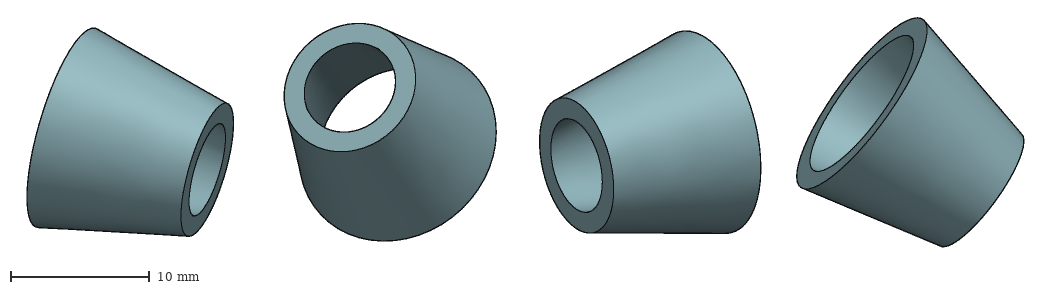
import cadquery as cq
import math

length = 11.0
wide_diameter = 15.0
narrow_diameter = 10.0
wall_thickness = 1.5

wide_radius = wide_diameter / 2
narrow_radius = narrow_diameter / 2

slope_angle = math.atan2(wide_radius - narrow_radius, length)
ring_width = wall_thickness / math.cos(slope_angle)

wall_section = cq.Workplane("XY").polyline([
    (0, wide_radius - ring_width),
    (0, wide_radius),
    (length, narrow_radius),
    (length, narrow_radius - ring_width),
]).close()

result = wall_section.revolve(360, (0, 0, 0), (1, 0, 0))